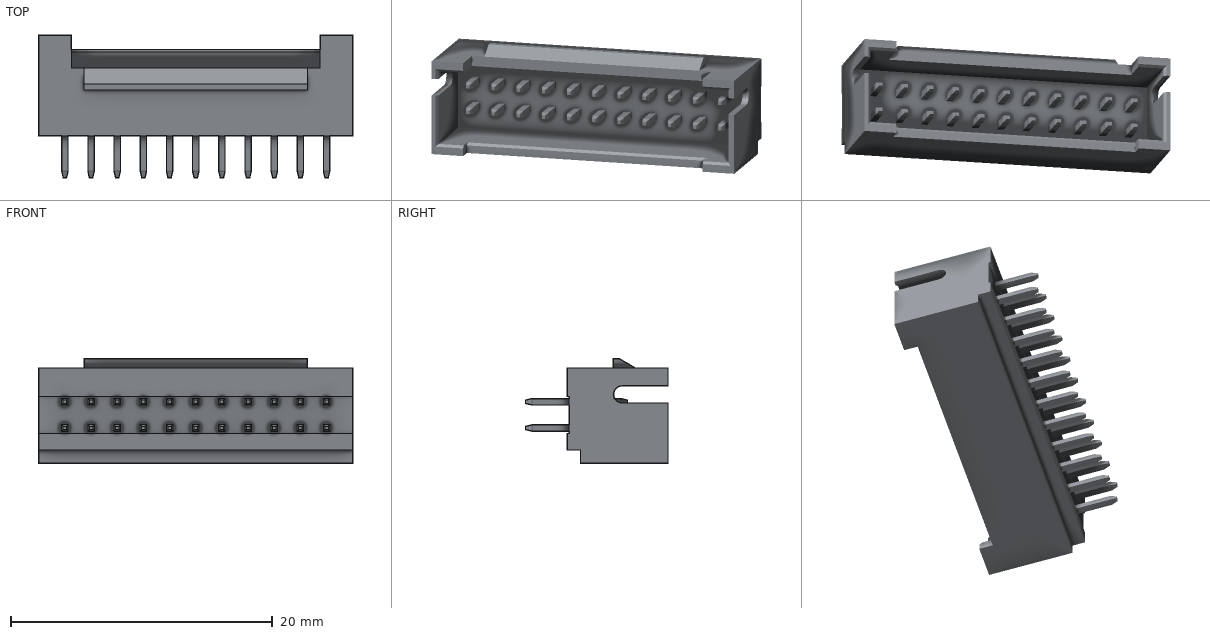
import cadquery as cq

width = 24.0
depth = 7.7
height = 7.3

long_wall = 0.8
end_wall = 0.5
rear_wall = 2.0
mouth_chamfer = 0.2

notch_margin = 2.5
top_notch_depth = 2.52
bottom_notch_depth = 1.08
slot_width = 1.3
slot_depth = 4.15
slot_top_gap = 1.4

recess_depth = 0.15
recess_height = 2.8
step_size = 1.0

ridge_margin = 3.48
ridge_length = 1.68
ridge_flat = 0.48
ridge_height = 0.7

columns = 11
pitch = width / (columns + 1)
pin_size = 0.5
tip_size = 0.26
tip_length = 0.5
pin_reach = 3.2
pin_mouth_gap = 3.1
pin_mid_drop = 3.6

pin_row_mid = height - pin_mid_drop
notch_width = width - 2 * notch_margin
cavity_width = width - 2 * end_wall
cavity_height = height - 2 * long_wall


def block(size_x, y_min, y_max, z_min, z_max):
    """Box centred on X between the given Y and Z limits."""
    size_y = y_max - y_min
    size_z = z_max - z_min
    corner_box = cq.Workplane("XY").box(size_x, size_y, size_z, centered=(True, False, False))
    return corner_box.translate((0, y_min, z_min))


def frustum(start_size, end_size, start_y, end_y, x, z):
    """Rectangular taper along Y between two cross-sections."""
    plane = cq.Plane(origin=(x, start_y, z), xDir=(1, 0, 0), normal=(0, end_y - start_y, 0))
    return (
        cq.Workplane(plane)
        .rect(*start_size)
        .workplane(offset=abs(end_y - start_y))
        .rect(*end_size)
        .loft(ruled=True)
    )


def cut_cavity(body):
    """Hollow out the housing and flare the mouth of the cavity."""
    inner = (cavity_width, cavity_height)
    outer = (cavity_width + 2 * mouth_chamfer, cavity_height + 2 * mouth_chamfer)
    cavity = block(cavity_width, rear_wall, depth, long_wall, height - long_wall)
    flare = frustum(inner, outer, depth - mouth_chamfer, depth, 0, height / 2)
    return body.cut(cavity).cut(flare)


def cut_notches(body):
    """Set back the front edges of the top and bottom walls between the ends."""
    mid_z = height / 2
    bottom_edge = depth - bottom_notch_depth
    body = body.cut(block(notch_width, depth - top_notch_depth, depth, mid_z, height))
    body = body.cut(block(notch_width, bottom_edge, depth, 0, mid_z))
    lead_in = (
        cq.Workplane("YZ")
        .moveTo(bottom_edge, long_wall)
        .lineTo(bottom_edge - mouth_chamfer, long_wall)
        .lineTo(bottom_edge, long_wall - mouth_chamfer)
        .close()
        .extrude(notch_width / 2, both=True)
    )
    return body.cut(lead_in)


def cut_end_slots(body):
    """Round-ended slot running through both end walls from the mouth."""
    radius = slot_width / 2
    slot_mid = height - slot_top_gap - radius
    round_end = depth - slot_depth + radius
    slot = (
        cq.Workplane("YZ")
        .moveTo(depth, slot_mid + radius)
        .lineTo(round_end, slot_mid + radius)
        .threePointArc((round_end - radius, slot_mid), (round_end, slot_mid - radius))
        .lineTo(depth, slot_mid - radius)
        .close()
        .extrude(width / 2, both=True)
    )
    return body.cut(slot)


def cut_rear_relief(body):
    """Shallow recess around the pins and a step along the lower rear edge."""
    recess_bottom = pin_row_mid - recess_height / 2
    body = body.cut(block(width, 0, recess_depth, recess_bottom, recess_bottom + recess_height))
    return body.cut(block(width, 0, step_size, 0, step_size))


def latch_ridge():
    """Ramped ridge that starts at the edge of the top notch."""
    front = depth - top_notch_depth
    rear = front - ridge_length
    top = height + ridge_height
    return (
        cq.Workplane("YZ")
        .moveTo(front, height)
        .lineTo(rear + ridge_flat, top)
        .lineTo(rear, top)
        .lineTo(rear, height)
        .close()
        .extrude(width / 2 - ridge_margin, both=True)
    )


def pin(x, z):
    """Square pin with a tapered tip at each end."""
    outer_tip = -pin_reach
    inner_tip = depth - pin_mouth_gap
    shank_start = outer_tip + tip_length
    shank_end = inner_tip - tip_length
    full = (pin_size, pin_size)
    tip = (tip_size, tip_size)
    half = pin_size / 2
    shank = block(pin_size, shank_start, shank_end, z - half, z + half).translate((x, 0, 0))
    shank = shank.union(frustum(full, tip, shank_start, outer_tip, x, z))
    return shank.union(frustum(full, tip, shank_end, inner_tip, x, z))


housing = block(width, 0, depth, 0, height)
housing = cut_cavity(housing)
housing = cut_notches(housing)
housing = cut_end_slots(housing)
housing = cut_rear_relief(housing)
housing = housing.union(latch_ridge())

pins = cq.Workplane("XY")
for column in range(columns):
    pin_x = (column - (columns - 1) / 2) * pitch
    for row_side in (-1, 1):
        pins.add(pin(pin_x, pin_row_mid + row_side * pitch / 2))

result = housing.union(pins.combine())